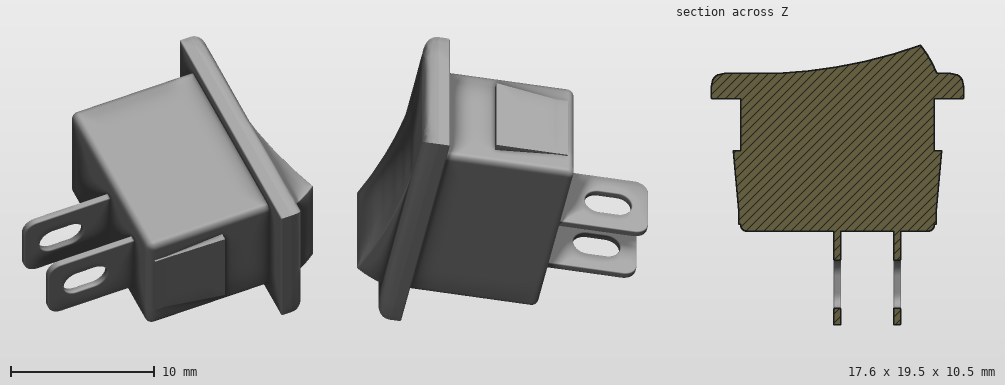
import cadquery as cq


BEZEL_WIDTH = 17.6
BEZEL_HEIGHT = 10.5
BEZEL_DEPTH = 1.8
BEZEL_RIM_DEPTH = 0.8
BEZEL_ROUND_FULLNESS = 0.63
BEZEL_BACK_RADIUS = 0.12

BODY_WIDTH = 13.5
BODY_HEIGHT = 8.5
BODY_DEPTH = 9.22
BODY_RADIUS = 0.5

CLIP_START = 3.58
CLIP_TAPER_LENGTH = 4.3
CLIP_FRONT_PROUD = 0.5
CLIP_BACK_PROUD = 0.12
CLIP_FRONT_HEIGHT = 6.07
CLIP_BACK_HEIGHT = 5.3
CLIP_LIFT = 0.05
CLIP_ROOT = 0.39

TERMINAL_POSITIONS = (-0.02, 4.15)
TERMINAL_LENGTH = 6.5
TERMINAL_THICKNESS = 0.5
TERMINAL_HEIGHT = 4.98
TERMINAL_CORNER_RADIUS = 1.0
TERMINAL_EDGE_RADIUS = 0.1
TERMINAL_ROOT = 0.97
SLOT_LENGTH = 3.3
SLOT_HEIGHT = 2.0
SLOT_FROM_TIP = 2.85

TOTAL_DEPTH = 19.46
ROCKER_HEIGHT = 7.51
ROCKER_PEAK_X = 5.78
ROCKER_LOW_X = -4.48
ROCKER_LOW_SINK = 0.02
ROCKER_FACE_MID = (0.78, 2.37)
ROCKER_END_X = 6.9
ROCKER_END_MID = (6.4, 2.82)
ROCKER_ROOT = 0.78
ROCKER_EDGE_RADIUS = 0.1


def block(width, height, y_back, y_front):
    """Box centred on X and Z, spanning y_back to y_front."""
    depth = y_front - y_back
    return cq.Workplane("XY").box(width, depth, height).translate((0, (y_back + y_front) / 2, 0))


def crown_prism(plane, size, length):
    """Bezel outline across `size`, with both front corners rounded, extruded by `length`."""
    half = size / 2
    rounding = BEZEL_DEPTH - BEZEL_RIM_DEPTH
    handle = BEZEL_ROUND_FULLNESS * rounding
    edge_curve = [
        (half, BEZEL_RIM_DEPTH),
        (half, BEZEL_RIM_DEPTH + handle),
        (half - rounding + handle, BEZEL_DEPTH),
        (half - rounding, BEZEL_DEPTH),
    ]
    mirrored_curve = [(-x, y) for x, y in reversed(edge_curve)]
    return (
        cq.Workplane(plane)
        .workplane(offset=-length / 2)
        .moveTo(-half, 0)
        .lineTo(half, 0)
        .lineTo(*edge_curve[0])
        .bezier(edge_curve)
        .lineTo(*mirrored_curve[0])
        .bezier(mirrored_curve)
        .close()
        .extrude(length)
    )


def make_bezel():
    """Plate rounded over along all four front edges, with mitred corners."""
    across_width = crown_prism("XY", BEZEL_WIDTH, BEZEL_HEIGHT)
    side_plane = cq.Plane(origin=(0, 0, 0), xDir=(0, 0, 1), normal=(-1, 0, 0))
    across_height = crown_prism(side_plane, BEZEL_HEIGHT, BEZEL_WIDTH)
    bezel = across_width.intersect(across_height)
    return bezel.faces("<Y").edges().fillet(BEZEL_BACK_RADIUS)


def make_body():
    body = block(BODY_WIDTH, BODY_HEIGHT, -BODY_DEPTH, 0)
    return body.edges("|Y or <Y").fillet(BODY_RADIUS)


def make_clip():
    """Clip on the +X end: a tapered wedge followed by a straight tail."""
    wall = BODY_WIDTH / 2
    front_width = CLIP_ROOT + CLIP_FRONT_PROUD
    back_width = CLIP_ROOT + CLIP_BACK_PROUD
    tail_length = BODY_DEPTH - BODY_RADIUS - CLIP_START - CLIP_TAPER_LENGTH
    wedge = (
        cq.Workplane("XZ", origin=(wall - CLIP_ROOT, -CLIP_START, CLIP_LIFT))
        .center(front_width / 2, 0)
        .rect(front_width, CLIP_FRONT_HEIGHT)
        .workplane(offset=CLIP_TAPER_LENGTH)
        .center((back_width - front_width) / 2, 0)
        .rect(back_width, CLIP_BACK_HEIGHT)
        .loft(ruled=True)
    )
    return wedge.faces("<Y").wires().toPending().workplane().extrude(tail_length)


def make_terminal(x):
    y_back = -BODY_DEPTH - TERMINAL_LENGTH
    blade = block(TERMINAL_THICKNESS, TERMINAL_HEIGHT, y_back, -BODY_DEPTH + TERMINAL_ROOT)
    blade = blade.edges("|X and <Y").fillet(TERMINAL_CORNER_RADIUS)
    slot = (
        cq.Workplane("YZ", origin=(0, y_back + SLOT_FROM_TIP, 0))
        .slot2D(SLOT_LENGTH, SLOT_HEIGHT)
        .extrude(TERMINAL_THICKNESS, both=True)
    )
    blade = blade.cut(slot)
    blade = blade.faces("<X or >X").edges().fillet(TERMINAL_EDGE_RADIUS)
    return blade.translate((x, 0, 0))


def make_rocker():
    """Rocker with a dished face, tipped so that its +X end stands out."""
    root_y = BEZEL_DEPTH - ROCKER_ROOT
    peak = (ROCKER_PEAK_X, TOTAL_DEPTH - BODY_DEPTH - TERMINAL_LENGTH)
    rocker = (
        cq.Workplane("XY", origin=(0, 0, -ROCKER_HEIGHT / 2))
        .moveTo(ROCKER_LOW_X, root_y)
        .lineTo(ROCKER_LOW_X, BEZEL_DEPTH - ROCKER_LOW_SINK)
        .threePointArc(ROCKER_FACE_MID, peak)
        .threePointArc(ROCKER_END_MID, (ROCKER_END_X, BEZEL_DEPTH))
        .lineTo(ROCKER_END_X, root_y)
        .close()
        .extrude(ROCKER_HEIGHT)
    )
    return rocker.faces("<Z or >Z").edges("not <Y").fillet(ROCKER_EDGE_RADIUS)


clip = make_clip()
result = make_bezel().union(make_body()).union(make_rocker())
result = result.union(clip).union(clip.mirror("YZ"))
for terminal_x in TERMINAL_POSITIONS:
    result = result.union(make_terminal(terminal_x))